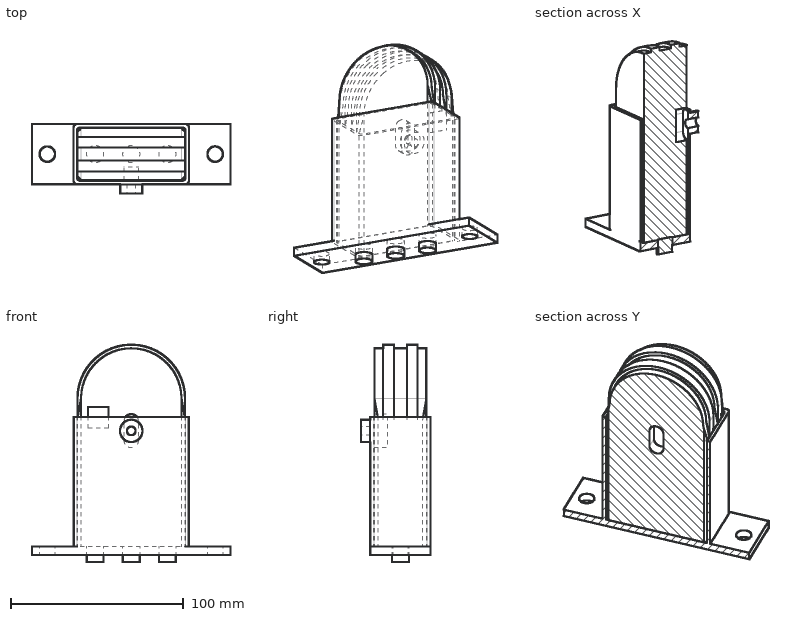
import cadquery as cq
import math

base_length = 115.0
base_width = 35.0
base_thickness = 5.0
mount_hole_diameter = 8.8
mount_hole_spacing = 97.3

tube_length = 66.9
wall = 2.0
rim_height = 80.0
tube_corner_radius = 2.1
cavity_length = tube_length - 2 * wall
cavity_width = base_width - 2 * wall

boss_diameter = 13.0
boss_projection = 5.4
boss_hole_diameter = 5.0
boss_height = 72.0
boss_face_y = -base_width / 2 - boss_projection

slider_top = 122.0
slider_width = 30.1
band_radius = 31.2
band_step = 2.1
band_width = 6.3
band_gap = 7.4
flare_angle = 10.0
core_radius = band_radius - band_step
arc_height = slider_top - band_radius
flare_height = band_step / math.tan(math.radians(flare_angle))
band_offset = (band_gap + band_width) / 2

slot_width = 8.3
slot_top = 81.6
slot_depth = 7.5
slot_length = 2 * (slot_top - boss_height)

recess_size = 12.1
recess_depth = 0.1
recess_center_x = -19.2
recess_top = 85.7

plug_diameter = 10.0
plug_projection = 4.0
plug_spacing = 20.9
plug_positions = [(-plug_spacing, 0), (0, 0), (plug_spacing, 0)]


def extrude_along_y(outline, y_start, length):
    """Extrude an outline drawn in X and Z from y_start towards +Y."""
    return outline.extrude(-length).translate((0, y_start, 0))


def make_housing():
    """Base plate, open-topped tube and drilled locking boss in one piece."""
    plate = cq.Workplane("XY").box(base_length, base_width, base_thickness, centered=(True, True, False))
    tube = (
        cq.Workplane("XY")
        .box(tube_length, base_width, rim_height, centered=(True, True, False))
        .edges("|Z")
        .fillet(tube_corner_radius)
    )
    cavity = (
        cq.Workplane("XY", origin=(0, 0, base_thickness))
        .box(cavity_length, cavity_width, rim_height, centered=(True, True, False))
        .edges("|Z")
        .fillet(tube_corner_radius)
    )
    boss_axis = cq.Workplane("XZ").center(0, boss_height)
    boss = extrude_along_y(boss_axis.circle(boss_diameter / 2), boss_face_y, boss_projection + wall / 2)
    boss_hole = extrude_along_y(boss_axis.circle(boss_hole_diameter / 2), boss_face_y, boss_projection + wall)
    mount_holes = (
        cq.Workplane("XY")
        .pushPoints([(-mount_hole_spacing / 2, 0), (mount_hole_spacing / 2, 0)])
        .circle(mount_hole_diameter / 2)
        .extrude(base_thickness)
    )
    plug_holes = cq.Workplane("XY").pushPoints(plug_positions).circle(plug_diameter / 2).extrude(base_thickness)
    solid = plate.union(tube).cut(cavity).union(boss)
    return solid.cut(boss_hole).cut(mount_holes).cut(plug_holes)


def make_slider_core():
    """Round-topped block whose sides flare out to the band width below the arc."""
    outline = (
        cq.Workplane("XZ")
        .moveTo(-band_radius, base_thickness)
        .lineTo(-band_radius, arc_height - flare_height)
        .lineTo(-core_radius, arc_height)
        .threePointArc((0, arc_height + core_radius), (core_radius, arc_height))
        .lineTo(band_radius, arc_height - flare_height)
        .lineTo(band_radius, base_thickness)
        .close()
    )
    block = extrude_along_y(outline, -slider_width / 2, slider_width)
    envelope = (
        cq.Workplane("XY")
        .box(2 * band_radius, slider_width, slider_top, centered=(True, True, False))
        .edges("|Z")
        .chamfer(band_step)
    )
    return block.intersect(envelope)


def make_band(center_y):
    """Full-height slice of the slider with the larger, straight-sided outline."""
    outline = (
        cq.Workplane("XZ")
        .moveTo(-band_radius, base_thickness)
        .lineTo(-band_radius, arc_height)
        .threePointArc((0, slider_top), (band_radius, arc_height))
        .lineTo(band_radius, base_thickness)
        .close()
    )
    return extrude_along_y(outline, center_y - band_width / 2, band_width)


def make_slider():
    """Core with two bands, a guide slot and a shallow recess."""
    solid = make_slider_core()
    for center_y in (-band_offset, band_offset):
        solid = solid.union(make_band(center_y))
    slot_outline = cq.Workplane("XZ").center(0, boss_height).slot2D(slot_length, slot_width, 90)
    slot = extrude_along_y(slot_outline, -slider_width / 2, slot_depth)
    recess_outline = (
        cq.Workplane("XZ")
        .center(recess_center_x, recess_top - recess_size / 2)
        .rect(recess_size, recess_size)
    )
    recess = extrude_along_y(recess_outline, -slider_width / 2, recess_depth)
    return solid.cut(slot).cut(recess)


def make_plug(position):
    """Round plug filling its hole in the base and projecting below it."""
    return (
        cq.Workplane("XY", origin=(*position, -plug_projection))
        .circle(plug_diameter / 2)
        .extrude(plug_projection + base_thickness)
    )


housing = make_housing()
slider = make_slider()
plugs = [make_plug(position) for position in plug_positions]

result = cq.Compound.makeCompound(
    [housing.solids().val(), slider.solids().val(), *[plug.val() for plug in plugs]]
)